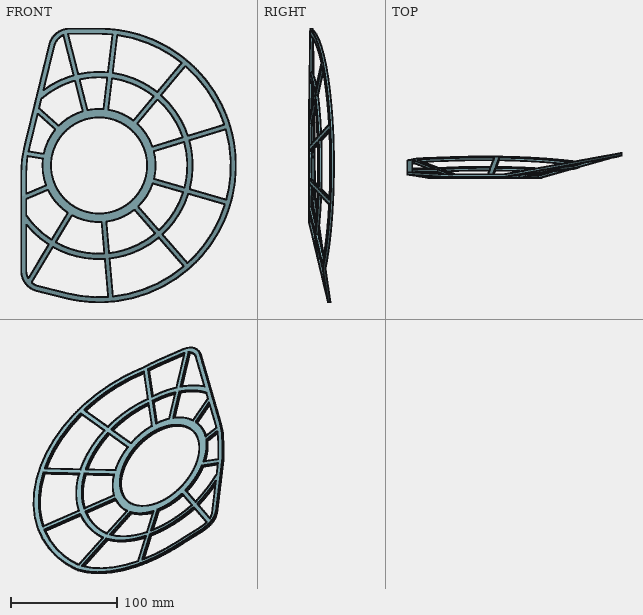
import cadquery as cq
import math

RIM_RADIUS = 129.0
LEFT_EDGE = 73.49
UPPER_LEFT_EDGE = 72.6
UPPER_LEFT_NORMAL = 166.3
BOTTOM_NORMAL = 256.0
CORNER_RADIUS = 20.0
SHALLOW_CORNER_RADIUS = 100.0

HUB_RADIUS = 53.4
HUB_HOLE_RADIUS = 45.2
MID_RING_INNER_RADIUS = 83.0
MID_RING_WIDTH = 5.3
RIM_WIDTH = 5.0
SPOKE_WIDTH = 4.7
SPOKE_ANGLES = (17.0, 50.1, 83.1, 104.3, 138.0, 170.6, 203.0, 239.0, 275.0, 311.1, 343.9)

DEPTH = 23.81
THICKNESS = 2.5
RIGHT_TILT = 10.3
BOTTOM_TILT = 8.4
SHEET_RADIUS = 160.0
CURVE_POINTS = 24

CREASE_OFFSET = math.degrees(math.asin(SPOKE_WIDTH / 2 / RIM_RADIUS))
TOP_RIGHT_CREASE = SPOKE_ANGLES[2] - CREASE_OFFSET
TOP_LEFT_CREASE = SPOKE_ANGLES[3] + CREASE_OFFSET
LEFT_CREASE = SPOKE_ANGLES[6] - CREASE_OFFSET
LOWER_RIGHT_CREASE = SPOKE_ANGLES[9]


def polar(radius, angle):
    """Point (x, z) at a radius and an angle in degrees."""
    return radius * math.cos(math.radians(angle)), radius * math.sin(math.radians(angle))


def edge_crossing(first, second):
    """Crossing (x, z) of two straight edges, each given as (distance, normal angle)."""
    (d1, a1), (d2, a2) = first, second
    (c1, s1), (c2, s2) = polar(1, a1), polar(1, a2)
    turn = c1 * s2 - c2 * s1
    return (d1 * s2 - d2 * s1) / turn, (c1 * d2 - c2 * d1) / turn


def angle_of(point):
    return math.degrees(math.atan2(point[1], point[0])) % 360


TOP = (RIM_RADIUS, 90.0)
UPPER_LEFT = (UPPER_LEFT_EDGE, UPPER_LEFT_NORMAL)
LEFT = (LEFT_EDGE, 180.0)
BOTTOM = (RIM_RADIUS, BOTTOM_NORMAL)
TOP_CORNER = edge_crossing(TOP, UPPER_LEFT)
LEFT_CORNER = edge_crossing(UPPER_LEFT, LEFT)
BOTTOM_CORNER = edge_crossing(LEFT, BOTTOM)

STRAIGHT_EDGES = (
    (TOP, angle_of(TOP_CORNER)),
    (UPPER_LEFT, angle_of(LEFT_CORNER)),
    (LEFT, angle_of(BOTTOM_CORNER)),
    (BOTTOM, BOTTOM_NORMAL),
)


def rim_radius(angle):
    """Distance from the axis to the outline, leaving out the rounded corners."""
    if 90 < angle < BOTTOM_NORMAL:
        for (distance, normal), end in STRAIGHT_EDGES:
            if angle <= end:
                return distance / math.cos(math.radians(angle - normal))
    return RIM_RADIUS


def right_height(x):
    return DEPTH - THICKNESS - math.tan(math.radians(RIGHT_TILT)) * (RIM_RADIUS - x)


def bottom_height(z):
    x_start, z_start = polar(RIM_RADIUS, LOWER_RIGHT_CREASE)
    return right_height(x_start) + math.tan(math.radians(BOTTOM_TILT)) * (z_start - z)


def rim_height(angle):
    """Y of the front of the rim; angle runs from the lower-right crease once around."""
    x, z = polar(rim_radius(angle % 360), angle)
    top_height = right_height(polar(RIM_RADIUS, TOP_RIGHT_CREASE)[0])
    if angle <= TOP_RIGHT_CREASE:
        return right_height(x)
    if angle <= TOP_LEFT_CREASE:
        return top_height
    if angle <= LEFT_CREASE:
        x_start = polar(rim_radius(TOP_LEFT_CREASE), TOP_LEFT_CREASE)[0]
        x_end, z_end = polar(rim_radius(LEFT_CREASE), LEFT_CREASE)
        rise = bottom_height(z_end) - top_height
        return top_height + rise * (x - x_start) / (x_end - x_start)
    return bottom_height(z)


def sheet_edge_point(angle):
    """Point on the outer edge of the untrimmed sheet, in line with the hub and the rim."""
    slope = rim_height(angle) / (rim_radius(angle % 360) - HUB_RADIUS)
    x, z = polar(SHEET_RADIUS, angle)
    return cq.Vector(x, slope * (SHEET_RADIUS - HUB_RADIUS), z)


def hub_point(angle):
    x, z = polar(HUB_RADIUS, angle)
    return cq.Vector(x, 0, z)


def sheet_sector(start, end):
    """Sector of the sheet, ruled from the hub circle out to the sheet edge."""
    steps = [i / CURVE_POINTS for i in range(CURVE_POINTS + 1)]
    outer_points = [sheet_edge_point(start + (end - start) * t) for t in steps]
    outer = cq.Edge.makeSpline(outer_points, parameters=steps)
    middle = (start + end) / 2
    inner = cq.Edge.makeThreePointArc(hub_point(start), hub_point(middle), hub_point(end))
    front = cq.Face.makeRuledSurface(inner, outer)
    return cq.Workplane(cq.Solid.extrudeLinear(front, cq.Vector(0, THICKNESS, 0)))


def dished_sheet():
    sheet = cq.Workplane("XZ").circle(HUB_RADIUS).extrude(-THICKNESS)
    bounds = [LOWER_RIGHT_CREASE - 360, TOP_RIGHT_CREASE, TOP_LEFT_CREASE]
    bounds += [end for _, end in STRAIGHT_EDGES]
    bounds += [LEFT_CREASE, LOWER_RIGHT_CREASE]
    bounds.sort()
    for start, end in zip(bounds, bounds[1:]):
        sheet = sheet.union(sheet_sector(start, end))
    return sheet


def outline_block():
    """Prism with the front outline, deep enough to hold the whole sheet."""
    block = (
        cq.Workplane("XZ")
        .moveTo(*polar(RIM_RADIUS, 90))
        .lineTo(*TOP_CORNER)
        .lineTo(*LEFT_CORNER)
        .lineTo(*BOTTOM_CORNER)
        .lineTo(*polar(RIM_RADIUS, BOTTOM_NORMAL))
        .threePointArc((RIM_RADIUS, 0), polar(RIM_RADIUS, 90))
        .close()
        .extrude(-DEPTH)
    )
    for (x, z), radius in (
        (TOP_CORNER, CORNER_RADIUS),
        (LEFT_CORNER, SHALLOW_CORNER_RADIUS),
        (BOTTOM_CORNER, CORNER_RADIUS),
    ):
        corner = cq.selectors.NearestToPointSelector((x, DEPTH / 2, z))
        block = block.edges("|Y").edges(corner).fillet(radius)
    return block


def ring_block(inner_radius, outer_radius):
    return cq.Workplane("XZ").circle(outer_radius).circle(inner_radius).extrude(-DEPTH)


def spoke_block(angle):
    start = (HUB_HOLE_RADIUS + HUB_RADIUS) / 2
    length = SHEET_RADIUS - start
    bar = cq.Workplane("XZ").center(start + length / 2, 0).rect(length, SPOKE_WIDTH).extrude(-DEPTH)
    return bar.rotate((0, 0, 0), (0, 1, 0), -angle)


def frame_block():
    """Front pattern of rim, rings and spokes as a prism along Y."""
    outline = outline_block()
    opening = outline.faces("<Y").wires().toPending().offset2D(-RIM_WIDTH).extrude(-DEPTH, combine=False)
    frame = ring_block(HUB_HOLE_RADIUS, HUB_RADIUS)
    frame = frame.union(ring_block(MID_RING_INNER_RADIUS, MID_RING_INNER_RADIUS + MID_RING_WIDTH))
    for angle in SPOKE_ANGLES:
        frame = frame.union(spoke_block(angle))
    return frame.intersect(outline).union(outline.cut(opening))


result = dished_sheet().intersect(frame_block())